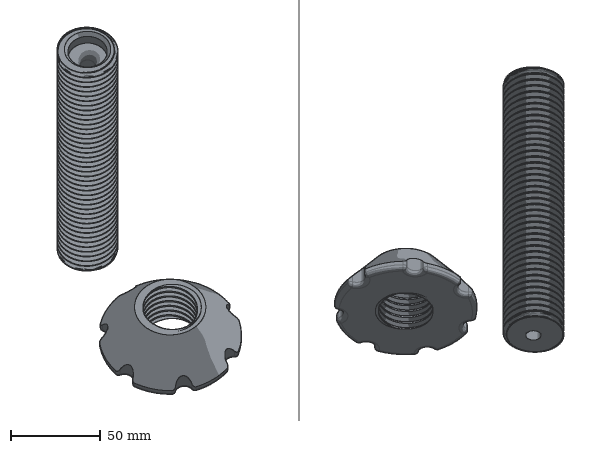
import cadquery as cq
import math

PITCH = 25.4 / 6
FLANK_SLOPE = math.tan(math.radians(30))
TIP_WIDTH = PITCH / 7
THREAD_OVERLAP = 0.3

SPINDLE_LENGTH = 180
SPINDLE_BASE_Z = 5
SPINDLE_MAJOR_D = 34.29
SPINDLE_MINOR_D = 29.89
SPINDLE_THREAD_ANGLE = 100

SOCKET_D = 22
SOCKET_DEPTH = 8
SOCKET_CHAMFER = 2
SCREW_HOLE_D = 8.5

NUT_X = 76.65
NUT_HEIGHT = 30
NUT_TOP_D = 40
NUT_RIM_D = 80
NUT_RIM_HEIGHT = 5
NUT_BASE_FILLET = 2.5
NUT_MAJOR_D = 34.92
NUT_MINOR_D = 30.6
NUT_THREAD_ANGLE = 30

NOTCH_COUNT = 7
NOTCH_FIRST_ANGLE = 180
NOTCH_RADIUS = 5
NOTCH_CORNER_RADIUS = 2


def thread_ridge(foot_radius, tip_radius, length, crest_angle):
    """Helical ridge pointing outward, overrunning the span from z = 0 to z = length at both ends.

    The middle of its tip passes z = 0 in the direction crest_angle.
    """
    inner_radius = foot_radius - THREAD_OVERLAP
    tip_half = TIP_WIDTH / 2
    inner_half = tip_half + (tip_radius - inner_radius) * FLANK_SLOPE
    profile = (
        cq.Workplane("XZ")
        .polyline([
            (inner_radius, -inner_half),
            (tip_radius, -tip_half),
            (tip_radius, tip_half),
            (inner_radius, inner_half),
        ])
        .close()
    )
    helix = cq.Wire.makeHelix(PITCH, length + 2 * PITCH, foot_radius)
    ridge = profile.sweep(cq.Workplane(obj=helix), isFrenet=True)
    return ridge.rotate((0, 0, 0), (0, 0, 1), crest_angle).translate((0, 0, -PITCH))


def threaded_rod(minor_d, major_d, length, crest_angle):
    """Plain-ended rod from z = 0 to z = length carrying a single thread ridge."""
    core = cq.Workplane("XY").circle(minor_d / 2).extrude(length)
    envelope = cq.Workplane("XY").circle(major_d).extrude(length)
    ridge = thread_ridge(minor_d / 2, major_d / 2, length, crest_angle)
    return core.union(ridge.intersect(envelope))


def make_spindle():
    rod = threaded_rod(SPINDLE_MINOR_D, SPINDLE_MAJOR_D, SPINDLE_LENGTH, SPINDLE_THREAD_ANGLE)
    return rod.cut(spindle_bore()).translate((0, 0, SPINDLE_BASE_Z))


def spindle_bore():
    """Chamfered socket whose floor rounds over into the through hole."""
    socket_radius = SOCKET_D / 2
    hole_radius = SCREW_HOLE_D / 2
    round_over = socket_radius - hole_radius
    floor_z = SPINDLE_LENGTH - SOCKET_DEPTH
    arc_middle = (
        socket_radius - round_over * math.sqrt(0.5),
        floor_z - round_over * (1 - math.sqrt(0.5)),
    )
    return (
        cq.Workplane("XZ")
        .moveTo(0, 0)
        .lineTo(hole_radius, 0)
        .lineTo(hole_radius, floor_z - round_over)
        .threePointArc(arc_middle, (socket_radius, floor_z))
        .lineTo(socket_radius, SPINDLE_LENGTH - SOCKET_CHAMFER)
        .lineTo(socket_radius + SOCKET_CHAMFER, SPINDLE_LENGTH)
        .lineTo(0, SPINDLE_LENGTH)
        .close()
        .revolve(360, (0, 0, 0), (0, 1, 0))
    )


def rim_notches():
    return (
        cq.Workplane("XY")
        .polarArray(NUT_RIM_D / 2, NOTCH_FIRST_ANGLE, 360, NOTCH_COUNT)
        .circle(NOTCH_RADIUS)
        .extrude(NUT_HEIGHT)
    )


def make_nut():
    disc = cq.Workplane("XY").circle(NUT_RIM_D / 2).extrude(NUT_HEIGHT).cut(rim_notches())
    disc = disc.edges("|Z").fillet(NOTCH_CORNER_RADIUS)
    disc = disc.faces("<Z").edges().fillet(NUT_BASE_FILLET)
    cone = (
        cq.Workplane("XZ")
        .polyline([
            (0, 0),
            (NUT_RIM_D / 2, 0),
            (NUT_RIM_D / 2, NUT_RIM_HEIGHT),
            (NUT_TOP_D / 2, NUT_HEIGHT),
            (0, NUT_HEIGHT),
        ])
        .close()
        .revolve(360, (0, 0, 0), (0, 1, 0))
    )
    threaded_hole = threaded_rod(NUT_MINOR_D, NUT_MAJOR_D, NUT_HEIGHT, NUT_THREAD_ANGLE)
    return disc.intersect(cone).cut(threaded_hole).translate((NUT_X, 0, 0))


spindle = make_spindle()
nut = make_nut()

result = cq.Compound.makeCompound([spindle.val(), nut.val()])